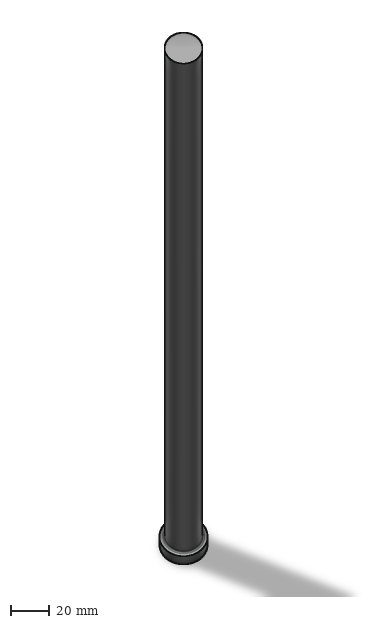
import cadquery as cq

total_length = 450.0
shaft_diameter = 20.0
head_diameter = 25.0
head_height = 8.0
root_fillet = 1.0
base_round = 1.0

shaft_radius = shaft_diameter / 2
head_radius = head_diameter / 2

half_section = (
    cq.Workplane("XZ")
    .lineTo(head_radius - base_round, 0)
    .radiusArc((head_radius, base_round), -base_round)
    .lineTo(head_radius, head_height)
    .lineTo(shaft_radius + root_fillet, head_height)
    .radiusArc((shaft_radius, head_height + root_fillet), root_fillet)
    .lineTo(shaft_radius, total_length)
    .lineTo(0, total_length)
    .close()
)

result = half_section.revolve(360, (0, 0), (0, 1))